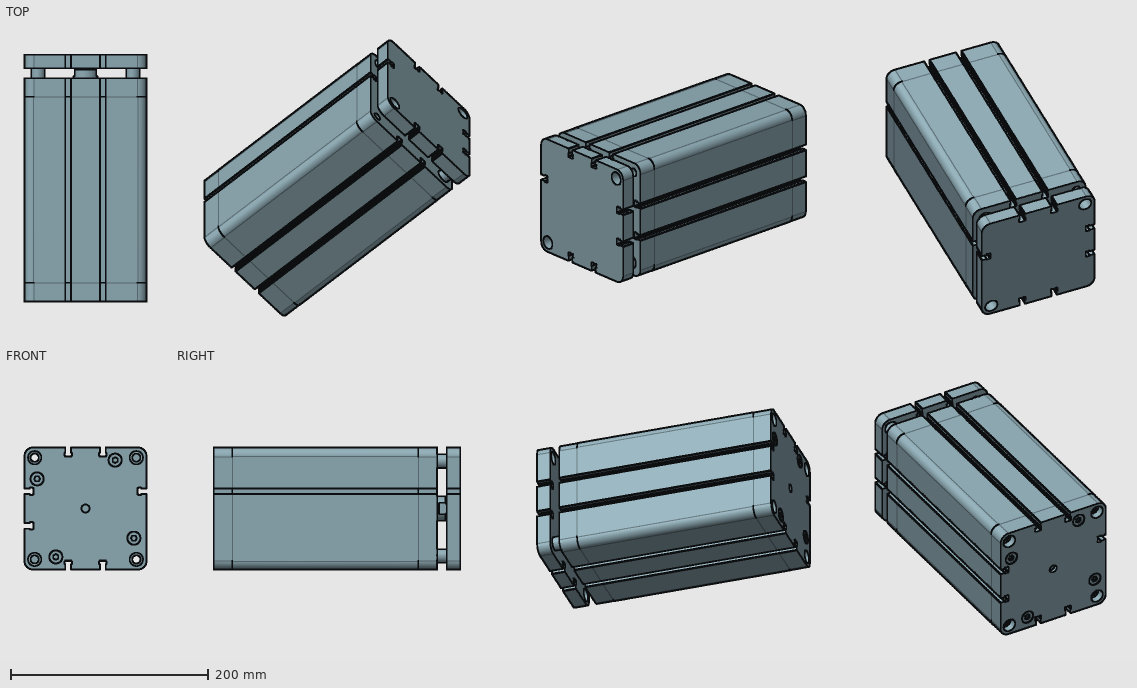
import cadquery as cq

SIDE = 124.0
LENGTH = 250.5
BARREL_CORNER_RADIUS = 8.8
CAP_CORNER_RADIUS = 9.3

CAP_THICKNESS = 19.0
PLATE_THICKNESS = 14.0
GAP = 9.8
PLATE_START = LENGTH - PLATE_THICKNESS
BODY_LENGTH = PLATE_START - GAP
REAR_CAP_START = BODY_LENGTH - CAP_THICKNESS
BARREL_LENGTH = REAR_CAP_START - CAP_THICKNESS

SLOT_OFFSET = 17.5
SLOT_MOUTH = 5.5
SLOT_WIDTH = 7.3
SLOT_NECK_DEPTH = 5.5
CAP_SLOT_DEPTH = 9.5
BARREL_SLOT_DEPTH = 8.8
MOUTH_CHAMFER = 0.5
FLOOR_CHAMFER = 0.8

BORE_OFFSET = 51.5
BORE_DIAMETER = 13.5
BORE_DEPTH = 8.5
MOUNTING_HOLE_DIAMETER = 8.3
BLIND_HOLE_DEPTH = CAP_THICKNESS

SCREW_NEAR = 30.0
SCREW_FAR = 49.0
SCREW_BORE_DIAMETER = 13.5
SCREW_HEAD_DIAMETER = 13.0
SCREW_BORE_DEPTH = 8.8
SCREW_RECESS = 0.5
HEX_CORNERS = 6.0
HEX_DEPTH = 2.3

PORT_DIAMETER = 8.3
PORT_DEPTH = 4.3

GUIDE_DIAMETER = 14.0
GUIDE_OFFSET = 48.0

ROD_DIAMETER = 25.0
ROD_FLATS = 22.0
ROD_FLAT_LENGTH = 7.3
ROD_CHAMFER_LENGTH = 1.3
ROD_CHAMFER_DEPTH = 0.8


def along_y(start):
    """Workplane at the given station that extrudes towards +Y."""
    return cq.Workplane(cq.Plane((0, start, 0), (-1, 0, 0), (0, 1, 0)))


def cylinder(x, z, diameter, start, length):
    """Cylinder along +Y."""
    return cq.Workplane(
        cq.Solid.makeCylinder(diameter / 2, length, cq.Vector(x, start, z), cq.Vector(0, 1, 0))
    )


def turned(shape, angle):
    """Copy of a shape turned about the part's centre line."""
    return shape.rotate((0, 0, 0), (0, 1, 0), angle)


def t_slot(depth, start, length):
    """T-slot cutter in the middle of the +Z side; its foot has chamfered floor edges."""
    top = SIDE / 2
    mouth = SLOT_MOUTH / 2
    foot = SLOT_WIDTH / 2
    neck = top - SLOT_NECK_DEPTH
    floor = top - depth
    half_outline = [
        (mouth + MOUTH_CHAMFER, top),
        (mouth, top - MOUTH_CHAMFER),
        (mouth, neck),
        (foot, neck),
        (foot, floor + FLOOR_CHAMFER),
        (foot - FLOOR_CHAMFER, floor),
    ]
    other_half = [(-x, z) for x, z in reversed(half_outline)]
    return along_y(start).polyline(half_outline + other_half).close().extrude(length)


def slotted_block(start, length, corner_radius, slot_depth):
    """Block with two slots on the top, bottom and -X sides and one upper slot on the +X side."""
    block = along_y(start).rect(SIDE, SIDE).extrude(length)
    block = block.edges("|Y").fillet(corner_radius)
    slot = t_slot(slot_depth, start, length)
    left_slot = slot.translate((-SLOT_OFFSET, 0, 0))
    right_slot = slot.translate((SLOT_OFFSET, 0, 0))
    for angle in (0, 180, -90):
        block = block.cut(turned(left_slot, angle))
        block = block.cut(turned(right_slot, angle))
    return block.cut(turned(left_slot, 90))


def piston_rod():
    """Rod with two flats facing -X and +X that run out at 45 degrees."""
    rod = cylinder(0, 0, ROD_DIAMETER, BODY_LENGTH, GAP)
    rod = rod.faces(">Y").chamfer(ROD_CHAMFER_LENGTH, ROD_CHAMFER_DEPTH)
    radius = ROD_DIAMETER / 2
    flat = ROD_FLATS / 2
    flat_end = PLATE_START - ROD_FLAT_LENGTH
    run_out_end = flat_end - (radius - flat)
    for side in (-1, 1):
        cutter = (
            cq.Workplane("XY", origin=(0, 0, -radius))
            .moveTo(side * flat, PLATE_START)
            .lineTo(side * flat, flat_end)
            .lineTo(side * radius, run_out_end)
            .lineTo(side * radius, PLATE_START)
            .close()
            .extrude(ROD_DIAMETER)
        )
        rod = rod.cut(cutter)
    return rod


def mounting_hole(side_x, side_z):
    """Counterbored corner hole: blind in front of a guide rod, otherwise through body and plate."""
    x = side_x * BORE_OFFSET
    z = side_z * BORE_OFFSET
    hole = cylinder(x, z, BORE_DIAMETER, 0, BORE_DEPTH)
    if side_x == side_z:
        return hole.union(cylinder(x, z, MOUNTING_HOLE_DIAMETER, 0, BLIND_HOLE_DEPTH))
    hole = hole.union(cylinder(x, z, MOUNTING_HOLE_DIAMETER, 0, BODY_LENGTH))
    return hole.union(cylinder(x, z, BORE_DIAMETER, PLATE_START, PLATE_THICKNESS))


def screw_cut():
    """Recess that leaves a sunken screw head with a hexagon socket."""
    recess = cylinder(0, 0, SCREW_BORE_DIAMETER, 0, SCREW_BORE_DEPTH)
    head = cylinder(0, 0, SCREW_HEAD_DIAMETER, SCREW_RECESS, SCREW_BORE_DEPTH - SCREW_RECESS)
    socket = along_y(SCREW_RECESS).polygon(6, HEX_CORNERS).extrude(HEX_DEPTH)
    return recess.cut(head).union(socket).translate((-SCREW_FAR, 0, SCREW_NEAR))


result = slotted_block(CAP_THICKNESS, BARREL_LENGTH, BARREL_CORNER_RADIUS, BARREL_SLOT_DEPTH)
for start, thickness in (
    (0, CAP_THICKNESS),
    (REAR_CAP_START, CAP_THICKNESS),
    (PLATE_START, PLATE_THICKNESS),
):
    cap = slotted_block(start, thickness, CAP_CORNER_RADIUS, CAP_SLOT_DEPTH)
    result = result.union(cap, clean=False)

result = result.union(piston_rod(), clean=False)
for place in (-GUIDE_OFFSET, GUIDE_OFFSET):
    guide_rod = cylinder(place, place, GUIDE_DIAMETER, BODY_LENGTH, GAP)
    result = result.union(guide_rod, clean=False)

for side_x in (-1, 1):
    for side_z in (-1, 1):
        result = result.cut(mounting_hole(side_x, side_z), clean=False)

for quarter in range(4):
    result = result.cut(turned(screw_cut(), 90 * quarter), clean=False)

result = result.cut(cylinder(0, 0, PORT_DIAMETER, 0, PORT_DEPTH), clean=False)